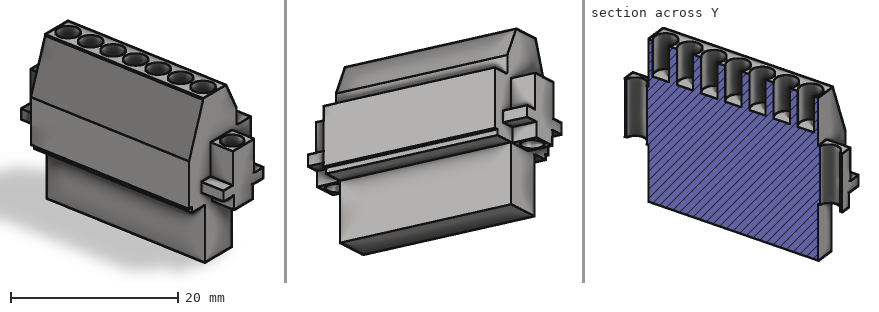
import cadquery as cq


overall_length = 31.5
housing_length = 24.6
flange_length = (overall_length - housing_length) / 2

housing_depth = 11.6
plug_front = 2.95
plug_back = 8.05
foot_inset = 0.55
crown_front = 2.65
crown_back = 6.95
upper_back = 8.9

overall_height = 22.7
foot_bottom = 7.9
foot_top = 8.65
front_wall_top = 15.2
ledge_height = 16.35
upper_back_top = 18.75
crown_edge_height = 0.2
ledge_fillet_radius = 0.25

well_count = 7
well_pitch = 3.5
well_diameter = 3.05
well_y = 4.8
well_depth = 5.0

flange_y = 6.05
post_depth = 4.0
post_top = 16.05
wing_depth = 7.5
wing_bottom = 9.9
wing_top = 11.4
neck_depth = 3.5
screw_hole_diameter = 2.9
screw_hole_spacing = (well_count + 1) * well_pitch


def make_housing():
    """Constant cross-section of the housing, extruded along X."""
    outline = [
        (plug_front, 0),
        (plug_back, 0),
        (plug_back, foot_bottom),
        (housing_depth - foot_inset, foot_bottom),
        (housing_depth - foot_inset, foot_top),
        (housing_depth, foot_top),
        (housing_depth, ledge_height),
        (upper_back, ledge_height),
        (upper_back, upper_back_top),
        (crown_back, overall_height),
        (crown_front, overall_height),
        (crown_front, overall_height - crown_edge_height),
        (0, front_wall_top),
        (0, foot_top),
        (foot_inset, foot_top),
        (foot_inset, foot_bottom),
        (plug_front, foot_bottom),
    ]
    housing = cq.Workplane("YZ").polyline(outline).close().extrude(housing_length / 2, both=True)
    ledge_corner = cq.selectors.NearestToPointSelector((0, upper_back, ledge_height))
    return housing.edges(ledge_corner).fillet(ledge_fillet_radius)


def cut_wells(body):
    """Row of round blind wells sunk from the crown."""
    wells = (
        cq.Workplane("XY", origin=(0, well_y, overall_height))
        .rarray(well_pitch, 1, well_count, 1)
        .circle(well_diameter / 2)
        .extrude(-well_depth)
    )
    return body.cut(wells)


def flange_block(side, depth, bottom, top):
    """Box on one end of the housing, centred on the flange plane."""
    center_x = side * (housing_length + flange_length) / 2
    return (
        cq.Workplane("XY", origin=(center_x, flange_y, bottom))
        .rect(flange_length, depth)
        .extrude(top - bottom)
    )


def make_flange(side):
    """Neck, wings and post stacked into a cross, with a vertical screw hole."""
    neck = flange_block(side, neck_depth, foot_bottom, wing_bottom)
    wings = flange_block(side, wing_depth, wing_bottom, wing_top)
    post = flange_block(side, post_depth, wing_top, post_top)
    screw_hole = (
        cq.Workplane("XY", origin=(side * screw_hole_spacing / 2, flange_y, foot_bottom))
        .circle(screw_hole_diameter / 2)
        .extrude(post_top - foot_bottom)
    )
    return neck.union(wings).union(post).cut(screw_hole)


result = cut_wells(make_housing())
for side in (-1, 1):
    result = result.union(make_flange(side))